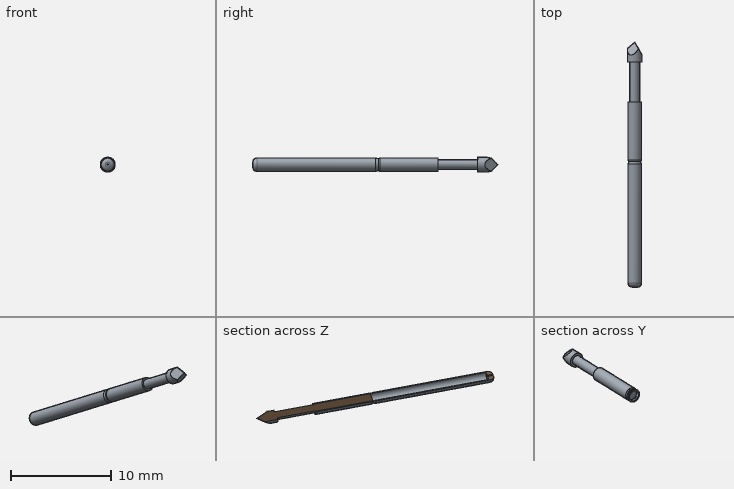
import cadquery as cq
import math

TOTAL_LENGTH = 24.5

BARREL_DIAMETER = 1.37
BARREL_LENGTH = 18.52
END_FACE_DIAMETER = 0.5
END_ROUND_RADIUS = (BARREL_DIAMETER - END_FACE_DIAMETER) / 2
END_WALL = 0.61
VENT_DIAMETER = 0.1

GROOVE_CENTER_Y = 12.52
GROOVE_WIDTH = 0.45
GROOVE_FLOOR_DIAMETER = 1.25
JOINT_Y = 12.57

SHAFT_DIAMETER = 1.0
HEAD_DIAMETER = 1.5
HEAD_LENGTH = 2.0
FACET_COUNT = 3
FACET_ANGLE = 30.0
HEAD_REAR_Y = TOTAL_LENGTH - HEAD_LENGTH


def rod(diameter, start_y, end_y):
    """Round rod along Y between two positions."""
    return (
        cq.Workplane("XZ", origin=(0, start_y, 0))
        .circle(diameter / 2)
        .extrude(start_y - end_y)
    )


def make_whole_barrel():
    """Hollow shape shared by both barrel parts: rounded, vented end and an arc-section groove."""
    outer = BARREL_DIAMETER / 2
    floor = GROOVE_FLOOR_DIAMETER / 2
    round_bend = END_ROUND_RADIUS * math.sin(math.radians(45))
    round_mid = (END_FACE_DIAMETER / 2 + round_bend, END_ROUND_RADIUS - round_bend)

    body = (
        cq.Workplane("XY")
        .lineTo(END_FACE_DIAMETER / 2, 0)
        .threePointArc(round_mid, (outer, END_ROUND_RADIUS))
        .lineTo(outer, GROOVE_CENTER_Y - GROOVE_WIDTH / 2)
        .threePointArc((floor, GROOVE_CENTER_Y), (outer, GROOVE_CENTER_Y + GROOVE_WIDTH / 2))
        .lineTo(outer, BARREL_LENGTH)
        .lineTo(0, BARREL_LENGTH)
        .close()
        .revolve(360, (0, 0, 0), (0, 1, 0))
    )
    bore = rod(SHAFT_DIAMETER, END_WALL, BARREL_LENGTH)
    vent = rod(VENT_DIAMETER, 0, END_WALL)
    return body.cut(bore).cut(vent)


def make_rear_barrel():
    """Closed part of the barrel, from the rounded end to the joint in the groove."""
    return make_whole_barrel().intersect(rod(BARREL_DIAMETER, 0, JOINT_Y))


def make_front_barrel():
    """Open part of the barrel, from the joint in the groove to the mouth."""
    return make_whole_barrel().intersect(rod(BARREL_DIAMETER, JOINT_Y, BARREL_LENGTH))


def make_point_envelope():
    """Three-sided pyramid, with its apex at the tip and one facet facing +X."""
    inscribed_radius = HEAD_LENGTH * math.tan(math.radians(FACET_ANGLE))
    corner_radius = inscribed_radius / math.cos(math.pi / FACET_COUNT)
    corners = []
    for index in range(FACET_COUNT):
        angle = (2 * index + 1) * math.pi / FACET_COUNT
        corners.append((corner_radius * math.cos(angle), corner_radius * math.sin(angle)))
    return (
        cq.Workplane("XZ", origin=(0, HEAD_REAR_Y, 0))
        .polyline(corners)
        .close()
        .extrude(-HEAD_LENGTH, taper=FACET_ANGLE)
    )


def make_plunger():
    """Shaft reaching into the barrel as far as the joint, with a faceted head."""
    shaft = rod(SHAFT_DIAMETER, JOINT_Y, HEAD_REAR_Y)
    head = rod(HEAD_DIAMETER, HEAD_REAR_Y, TOTAL_LENGTH).intersect(make_point_envelope())
    return shaft.union(head)


rear_barrel = make_rear_barrel()
front_barrel = make_front_barrel()
plunger = make_plunger()

result = cq.Compound.makeCompound([rear_barrel.val(), front_barrel.val(), plunger.val()])